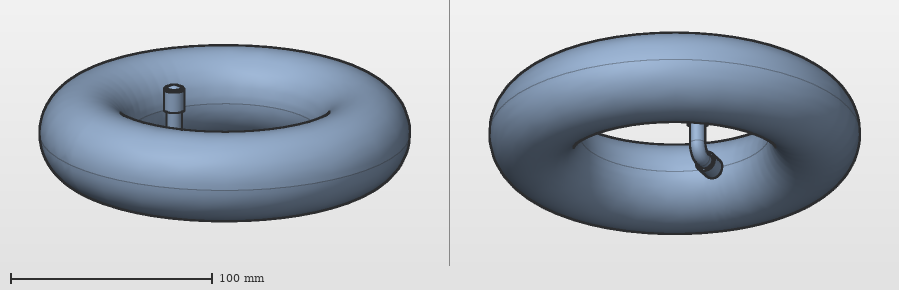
import cadquery as cq
outer_diameter = 184.2
tube_radius = 22.3
ring_radius = outer_diameter / 2 - tube_radius

valve_y = -28.5
stem_radius = 3.9
elbow_radius = 6.0
stem_axis_z = 0.0
collar_radius = 5.2
collar_end_y = -38.0

cap_radius = 5.2
cap_bottom_z = 16.5
cap_shoulder_z = 27.3
cap_neck_radius = 4.5
cap_neck_height = 1.0
dome_edge_radius = 3.7
cap_rim_z = cap_shoulder_z + cap_neck_height
cap_top_z = tube_radius + 7.4

stem_start = cq.Plane(origin=(0, -ring_radius, stem_axis_z), xDir=(1, 0, 0), normal=(0, 1, 0))


def make_ring():
    """Solid torus about Z; the section is two half circles so its skin is split at mid height."""
    inner_radius = ring_radius - tube_radius
    section = (
        cq.Workplane("XZ")
        .moveTo(inner_radius, 0)
        .threePointArc((ring_radius, tube_radius), (outer_diameter / 2, 0))
        .threePointArc((ring_radius, -tube_radius), (inner_radius, 0))
        .close()
    )
    return section.revolve(360, (0, 0, 0), (0, 1, 0), clean=False)


def make_stem():
    """Round stem swept from inside the ring, round the elbow and up into the cap."""
    path = (
        cq.Workplane("YZ")
        .moveTo(-ring_radius, stem_axis_z)
        .lineTo(valve_y - elbow_radius, stem_axis_z)
        .tangentArcPoint((valve_y, stem_axis_z + elbow_radius), relative=False)
        .lineTo(valve_y, (cap_bottom_z + cap_shoulder_z) / 2)
    )
    return cq.Workplane(stem_start).circle(stem_radius).sweep(path)


def make_collar():
    """Thicker sleeve round the stem where it leaves the ring."""
    return cq.Workplane(stem_start).circle(collar_radius).extrude(collar_end_y + ring_radius)


def make_cap():
    """Cap revolved about the upright stem axis."""
    dome_height = cap_top_z - cap_rim_z
    sphere_radius = (dome_edge_radius**2 + dome_height**2) / (2 * dome_height)
    profile = (
        cq.Workplane("XZ", origin=(0, valve_y, 0))
        .moveTo(0, cap_bottom_z)
        .lineTo(cap_radius, cap_bottom_z)
        .lineTo(cap_radius, cap_shoulder_z)
        .lineTo(cap_neck_radius, cap_shoulder_z)
        .lineTo(cap_neck_radius, cap_rim_z)
        .lineTo(dome_edge_radius, cap_rim_z)
        .radiusArc((0, cap_top_z), -sphere_radius)
        .close()
    )
    return profile.revolve(360, (0, 0, 0), (0, 1, 0))


valve = make_collar().union(make_stem()).union(make_cap())
result = make_ring().union(valve, clean=False)